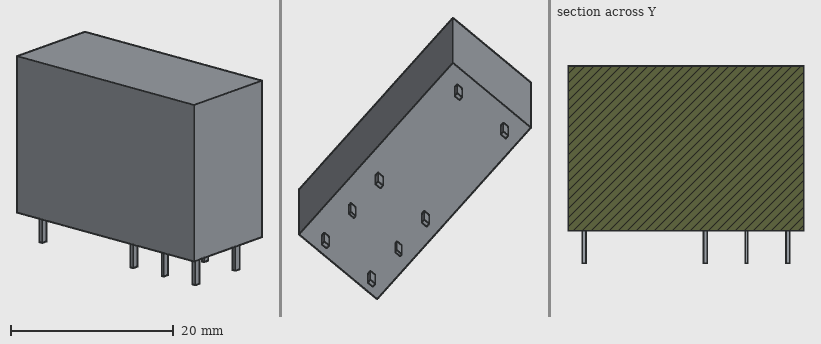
import cadquery as cq

body_length = 29.0
body_width = 12.7
body_height = 20.3

pin_thickness = 0.5
middle_contact_thickness = 0.35
pin_width = 0.8
pin_length = 4.0
pin_embed = 0.3

row_spacing = 7.5
end_inset = 1.97
contact_pitch = 5.08

end_pin_x = body_length / 2 - end_inset
pin_columns = [
    (-end_pin_x, pin_thickness),
    (end_pin_x - 2 * contact_pitch, pin_thickness),
    (end_pin_x - contact_pitch, middle_contact_thickness),
    (end_pin_x, pin_thickness),
]


def make_body():
    """Plain box for the relay case."""
    return cq.Workplane("XY").box(body_length, body_width, body_height, centered=(True, True, False))


def make_pin_pair(x, thickness):
    """Two matching pins at the same X, one in each row, hanging below the body."""
    return (
        cq.Workplane("XY")
        .workplane(offset=-pin_length)
        .pushPoints([(x, -row_spacing / 2), (x, row_spacing / 2)])
        .rect(thickness, pin_width)
        .extrude(pin_length + pin_embed)
    )


result = make_body()
for column_x, column_thickness in pin_columns:
    result = result.union(make_pin_pair(column_x, column_thickness))